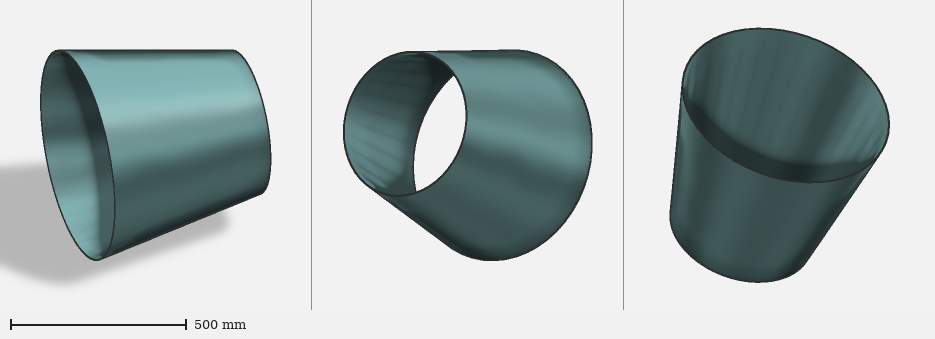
import cadquery as cq

large_outer_diameter = 609.6
small_outer_diameter = 419.1
wall_thickness = 3.0
length = 508.0

large_outer_radius = large_outer_diameter / 2
small_outer_radius = small_outer_diameter / 2
large_inner_radius = large_outer_radius - wall_thickness
small_inner_radius = small_outer_radius - wall_thickness


def conical_shell():
    """Revolve the sloping wall section about the Y axis, large end at Y = 0."""
    wall_section = (
        cq.Workplane("XY")
        .moveTo(large_inner_radius, 0)
        .lineTo(large_outer_radius, 0)
        .lineTo(small_outer_radius, length)
        .lineTo(small_inner_radius, length)
        .close()
    )
    return wall_section.revolve(360, (0, 0, 0), (0, 1, 0))


result = conical_shell()